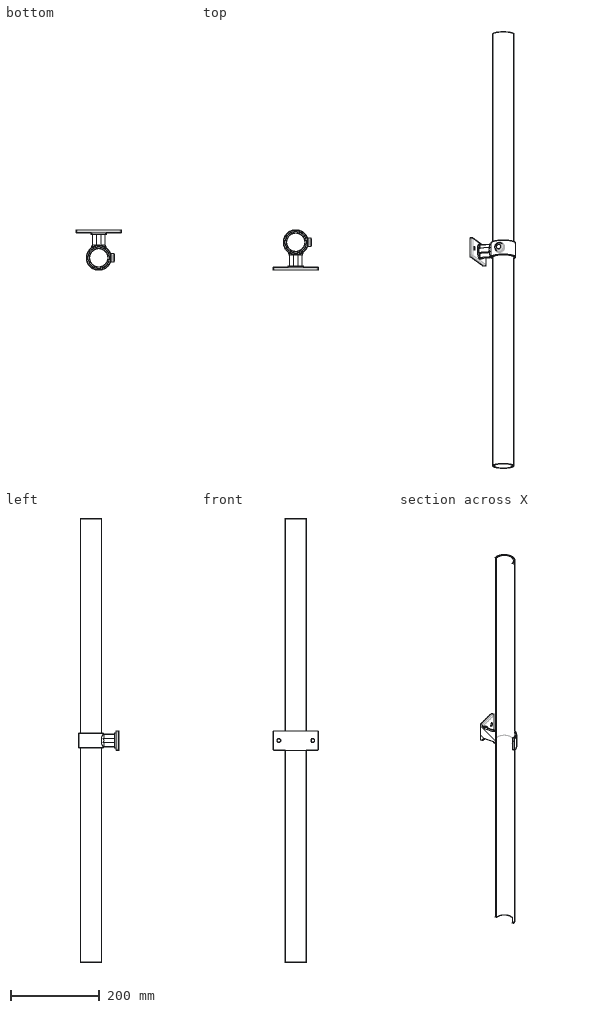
import cadquery as cq

tube_length = 1000.0
tube_diameter = 48.0
bore_diameter = 41.0
mid_height = tube_length / 2

collar_radius = 28.0
collar_height = 34.0
collar_chamfer = 1.0

boss_reach = 35.0
boss_diameter = 20.0
boss_rim_round = 3.0
boss_root_round = 2.0
screw_diameter = 10.0

stem_width = 29.0
rib_thickness = 10.0
root_flare = 2.0
root_overhang = 1.0
foot_diameter = 34.0
foot_thickness = 3.0

plate_width = 102.0
plate_height = 44.0
plate_thickness = 7.0
plate_corner_round = 3.0
plate_edge_round = 2.5
hole_diameter = 8.0
hole_spacing = 76.0

overall_depth = 91.0
plate_outer_y = collar_radius - overall_depth
plate_inner_y = plate_outer_y + plate_thickness
foot_inner_y = plate_inner_y + foot_thickness
root_outer_y = -collar_radius - root_overhang
root_inner_y = -tube_diameter / 2


def block(width, height, y_start, y_end):
    """Box centred on X = 0 and on the middle of the tube, from y_start to y_end."""
    return cq.Workplane("XY").box(width, y_end - y_start, height).translate(
        (0, (y_start + y_end) / 2, mid_height)
    )


def rod(diameter, y_start, y_end, x=0):
    """Round rod along Y at the middle of the tube, from y_start to y_end."""
    return (
        cq.Workplane("XZ", origin=(x, y_end, mid_height))
        .circle(diameter / 2)
        .extrude(y_end - y_start)
    )


def upright_cylinder(diameter, height):
    """Cylinder on the tube axis, centred on the middle of the tube."""
    return (
        cq.Workplane("XY", origin=(0, 0, mid_height))
        .circle(diameter / 2)
        .extrude(height / 2, both=True)
    )


def side_cylinder(diameter, x_end):
    """Cylinder along X from the tube axis out to x_end, at the middle of the tube."""
    return cq.Workplane("YZ", origin=(0, 0, mid_height)).circle(diameter / 2).extrude(x_end)


def make_tube():
    return upright_cylinder(tube_diameter, tube_length).cut(
        upright_cylinder(bore_diameter, tube_length)
    )


def make_collar():
    """Chamfered collar with the screw boss blended into its side."""
    collar = upright_cylinder(2 * collar_radius, collar_height)
    collar = collar.edges("%CIRCLE").chamfer(collar_chamfer)
    boss = side_cylinder(boss_diameter, boss_reach).faces(">X").edges().fillet(boss_rim_round)
    boss_root = cq.selectors.BoxSelector(
        (collar_radius / 2, -boss_diameter, mid_height - boss_diameter / 2 - boss_root_round),
        (collar_radius, boss_diameter, mid_height + boss_diameter / 2 + boss_root_round),
    )
    return collar.union(boss).edges(boss_root).fillet(boss_root_round)


def make_stem():
    flat_rib = block(stem_width, rib_thickness, foot_inner_y, 0)
    upright_rib = block(rib_thickness, stem_width, foot_inner_y, 0)
    root = cq.Workplane(
        cq.Solid.makeCone(
            stem_width / 2,
            stem_width / 2 + root_flare,
            root_inner_y - root_outer_y,
            pnt=cq.Vector(0, root_outer_y, mid_height),
            dir=cq.Vector(0, 1, 0),
        )
    )
    foot = rod(foot_diameter, plate_inner_y, foot_inner_y)
    return flat_rib.union(upright_rib).union(root).union(foot)


def make_plate():
    """Plate with rounded corners, a rounded edge on the tube side and two screw holes."""
    plate = block(plate_width, plate_height, plate_outer_y, plate_inner_y)
    plate = plate.edges("|Y").fillet(plate_corner_round)
    plate = plate.faces(">Y").edges().fillet(plate_edge_round)
    for side in (-1, 1):
        plate = plate.cut(rod(hole_diameter, plate_outer_y, plate_inner_y, side * hole_spacing / 2))
    return plate


def make_bracket():
    """One-piece bracket: collar, stem and plate, bored for the tube and the set screw."""
    bracket = make_collar().union(make_stem()).union(make_plate())
    bracket = bracket.cut(upright_cylinder(tube_diameter, tube_length))
    return bracket.cut(side_cylinder(screw_diameter, boss_reach))


def make_set_screw():
    """Headless screw, flush with the boss and bearing on the tube."""
    return side_cylinder(screw_diameter, boss_reach).cut(
        upright_cylinder(tube_diameter, tube_length)
    )


tube = make_tube()
bracket = make_bracket()
set_screw = make_set_screw()
result = cq.Compound.makeCompound([tube.val(), bracket.val(), set_screw.val()])